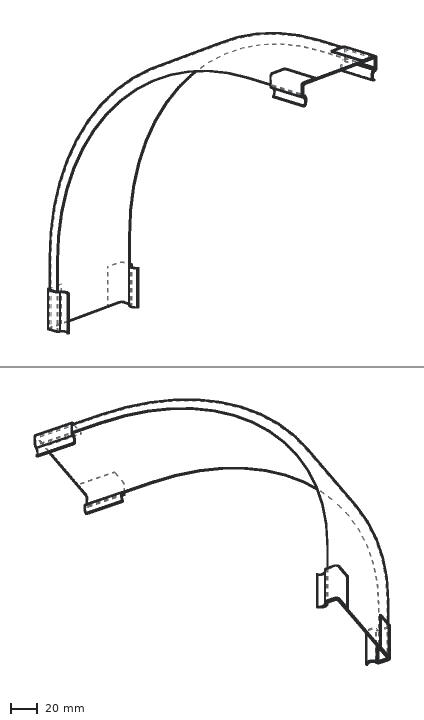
import cadquery as cq
import math

overall_size = 256.5
overall_width = 83.4

cover_sheet = 1.0
straight_length = 55.0
flange_depth = 9.5
cover_corner = 2.5

clip_length = 31.0
clip_reach = 16.0
clip_wall = 1.3
clip_plate = 0.5
clip_corner = 2.5
hook_radius = 2.3
lip_depth = 19.0
lip_bulge = 4.4
lip_tip_inset = 2.5

half_size = overall_size / 2
half_width = overall_width / 2
cover_half_width = half_width - clip_wall
cover_top = half_size - clip_plate
bend_center = half_size - straight_length


def corner_midpoint(corner_y, corner_z, radius):
    """Middle of a convex arc rounding an outer (+Y, +Z) corner."""
    inset = radius * (1 - math.sqrt(0.5))
    return (corner_y - inset, corner_z - inset)


def channel_face(x):
    """Downward-open channel section in the YZ plane at the given x."""
    top = cover_top
    edge = half_size - flange_depth
    inner_half = cover_half_width - cover_sheet
    outer_arc = corner_midpoint(cover_half_width, top, cover_corner)
    inner_corner = cover_corner - cover_sheet
    inner_arc = corner_midpoint(inner_half, top - cover_sheet, inner_corner)
    return (
        cq.Workplane("YZ", origin=(x, 0, 0))
        .moveTo(-cover_half_width, edge)
        .lineTo(-cover_half_width, top - cover_corner)
        .threePointArc((-outer_arc[0], outer_arc[1]), (cover_corner - cover_half_width, top))
        .lineTo(cover_half_width - cover_corner, top)
        .threePointArc(outer_arc, (cover_half_width, top - cover_corner))
        .lineTo(cover_half_width, edge)
        .lineTo(inner_half, edge)
        .lineTo(inner_half, top - cover_corner)
        .threePointArc(inner_arc, (inner_half - inner_corner, top - cover_sheet))
        .lineTo(inner_corner - inner_half, top - cover_sheet)
        .threePointArc((-inner_arc[0], inner_arc[1]), (-inner_half, top - cover_corner))
        .lineTo(-inner_half, edge)
        .close()
    )


def to_lower_end(body):
    """Swap X and -Z, which carries a body from the upper end to the lower end."""
    return body.rotate((0, 0, 0), (0, 1, 0), 90).mirror("YZ")


def make_cover():
    """Two straight channel ends joined by a quarter-circle channel."""
    upper_end = channel_face(bend_center).extrude(straight_length)
    bend = channel_face(bend_center).revolve(90, (0, -bend_center, 0), (-1, -bend_center, 0))
    return upper_end.union(bend).union(to_lower_end(upper_end))


def make_clip():
    """Bent clip on the +Y edge of the upper end, with a flared spring lip."""
    wall_inner = cover_half_width
    bend_level = half_size - flange_depth
    bend_y = half_width - hook_radius
    hook_bottom = bend_level - hook_radius
    inner_radius = hook_radius - clip_wall
    lip_middle = half_size - (flange_depth + hook_radius + lip_depth) / 2
    tip_level = half_size - lip_depth
    tip_y = half_width - lip_tip_inset
    bulge_y = half_width - lip_bulge
    diagonal = math.sqrt(0.5)
    plate_end = half_width - clip_reach
    return (
        cq.Workplane("YZ", origin=(half_size - clip_length, 0, 0))
        .moveTo(plate_end, half_size)
        .lineTo(half_width - clip_corner, half_size)
        .threePointArc(
            corner_midpoint(half_width, half_size, clip_corner),
            (half_width, half_size - clip_corner),
        )
        .lineTo(half_width, bend_level)
        .threePointArc(
            (bend_y + hook_radius * diagonal, bend_level - hook_radius * diagonal),
            (bend_y, hook_bottom),
        )
        .threePointArc((bulge_y, lip_middle), (tip_y, tip_level))
        .lineTo(tip_y - clip_wall, tip_level)
        .threePointArc((bulge_y - clip_wall, lip_middle), (bend_y - clip_wall, hook_bottom + clip_wall))
        .lineTo(bend_y, hook_bottom + clip_wall)
        .threePointArc(
            (bend_y + inner_radius * diagonal, bend_level - inner_radius * diagonal),
            (wall_inner, bend_level),
        )
        .lineTo(wall_inner, cover_top - cover_corner)
        .threePointArc(
            corner_midpoint(wall_inner, cover_top, cover_corner),
            (wall_inner - cover_corner, cover_top),
        )
        .lineTo(plate_end, cover_top)
        .close()
        .extrude(clip_length)
    )


def make_clips():
    """One clip on each edge at each end of the cover."""
    clips = []
    for upper_clip in (make_clip(), make_clip().mirror("XZ")):
        clips.append(upper_clip)
        clips.append(to_lower_end(upper_clip))
    return clips


cover = make_cover()
clips = make_clips()
result = cq.Compound.makeCompound([cover.val(), *[clip.val() for clip in clips]])